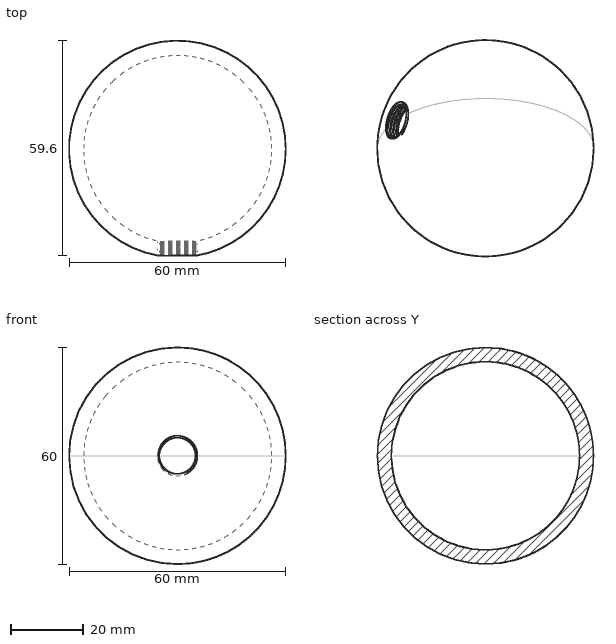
import cadquery as cq
import math

ball_diameter = 60.0
wall_thickness = 4.0
outer_radius = ball_diameter / 2
inner_radius = outer_radius - wall_thickness

bore_diameter = 10.0
bore_radius = bore_diameter / 2

pitch = 1.0
thread_angle = 60.0
root_width = pitch / 8
crest_width = pitch / 4
flank_slope = math.tan(math.radians(thread_angle / 2))
groove_depth = (pitch - crest_width - root_width) / 2 / flank_slope
root_radius = bore_radius + groove_depth
cutter_overlap = 0.05
run_out_turns = 2


def depth_below_surface(radius):
    """Depth, below the ball's -Y point, of a circle of this radius lying on the ball."""
    return outer_radius - math.sqrt(outer_radius**2 - radius**2)


def arc_middle(radius, upper):
    """Middle point of a quarter arc on the +X side of the ball's section."""
    offset = radius * math.sqrt(0.5)
    return (offset, offset if upper else -offset)


def make_hollow_ball():
    """Half ring turned about Z; its arcs are split where they cross the equator."""
    half_ring = (
        cq.Workplane("XZ")
        .moveTo(0, outer_radius)
        .threePointArc(arc_middle(outer_radius, True), (outer_radius, 0))
        .threePointArc(arc_middle(outer_radius, False), (0, -outer_radius))
        .lineTo(0, -inner_radius)
        .threePointArc(arc_middle(inner_radius, False), (inner_radius, 0))
        .threePointArc(arc_middle(inner_radius, True), (0, inner_radius))
        .close()
    )
    return half_ring.revolve(360, (0, 0, 0), (0, 1, 0), clean=False)


def make_bore():
    """Plain bore along +Z, from outside the ball to inside the cavity."""
    clearance = wall_thickness / 2
    length = wall_thickness + 2 * clearance
    return cq.Workplane("XY").circle(bore_radius).extrude(length).translate((0, 0, -clearance))


def make_thread_groove():
    """Right-hand helical cutter along +Z; its root meets the ball's surface at angle zero."""
    start = depth_below_surface(root_radius) - run_out_turns * pitch
    length = wall_thickness + 2 * run_out_turns * pitch
    root_half = root_width / 2
    mouth_half = root_half + (groove_depth + cutter_overlap) * flank_slope
    tip_radius = bore_radius - cutter_overlap

    helix = cq.Wire.makeHelix(pitch, length, bore_radius).translate(cq.Vector(0, 0, start))
    profile = (
        cq.Workplane("XZ")
        .moveTo(tip_radius, start - mouth_half)
        .lineTo(root_radius, start - root_half)
        .lineTo(root_radius, start + root_half)
        .lineTo(tip_radius, start + mouth_half)
        .close()
    )
    return profile.sweep(cq.Workplane(obj=helix), isFrenet=True)


def place_in_wall(tool):
    """Turn a tool so +Z points into the ball along +Y and angle zero points to part +Z."""
    return (
        tool.rotate((0, 0, 0), (0, 0, 1), -90)
        .rotate((0, 0, 0), (1, 0, 0), -90)
        .translate((0, -outer_radius, 0))
    )


hollow_ball = make_hollow_ball()
grooved_ball = hollow_ball.cut(place_in_wall(make_thread_groove()), clean=False)
result = grooved_ball.cut(place_in_wall(make_bore()), clean=False)